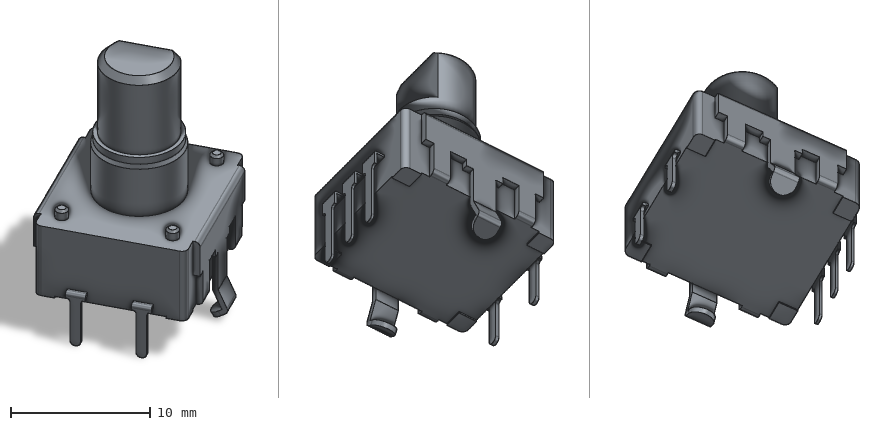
import cadquery as cq
import math


overall_width = 14.0
shaft_top = 11.5
pin_bottom = shaft_top - 21

housing_width = 11.5
housing_depth = 13.4
housing_bottom = -5.88
corner_radius = 0.5
foot_height = 0.15
foot_size = 1.53

bushing_diameter = 7.0
bushing_straight = 4.07
bushing_cone_top = 4.4
ring_diameter = 6.7
ring_top = 5.0
shaft_diameter = 6.0
shaft_chamfer = 0.5
flat_offset = 1.5
flat_floor = 6.5

peg_diameter = 1.0
peg_height = 0.82
peg_chamfer = 0.19
peg_x = 4.2
peg_y = 5.1

cover_width = 12.6
cover_depth = 10.37
cover_bottom = -2.92
cover_radius = 0.42
tab_centre = 3.74
tab_width = 1.47
step_width = 3.2
step_bottom = -3.53
leg_width = 2.0
leg_thickness = 0.42
leg_bend_z = -6.85
knee_z = -8.4
limb_angle = 33
limb_straight = 0.35

pin_pitch = 2.5
pin_head_width = 1.51
pin_stem_width = 0.82
pin_fillet = 0.27
rear_pins = {"reach": 7.55, "top": -2.92, "head_bottom": -4.2, "thickness": 0.2}
front_pins = {"reach": 7.18, "top": -5.02, "head_bottom": -5.5, "thickness": 0.3}


def block(x_range, y_range, z_range):
    """Box spanning the given (low, high) ranges."""
    sizes = [high - low for low, high in (x_range, y_range, z_range)]
    corner = (x_range[0], y_range[0], z_range[0])
    return cq.Workplane("XY").box(*sizes, centered=False).translate(corner)


def make_housing():
    """Rounded block standing on four square corner feet."""
    height = foot_height - housing_bottom
    body = cq.Workplane("XY").rect(housing_width, housing_depth).extrude(-height)
    body = body.edges("|Z").fillet(corner_radius)
    relief = cq.Workplane("XY").workplane(offset=housing_bottom)
    across_x = relief.rect(housing_width, housing_depth - 2 * foot_size).extrude(-foot_height)
    across_y = relief.rect(housing_width - 2 * foot_size, housing_depth).extrude(-foot_height)
    return body.cut(across_x).cut(across_y)


def make_shaft():
    """Stepped bushing and shaft, turned about Z, with a flat on the +Y side."""
    bushing_radius = bushing_diameter / 2
    ring_radius = ring_diameter / 2
    shaft_radius = shaft_diameter / 2
    turned = (
        cq.Workplane("XZ")
        .moveTo(0, housing_bottom / 2)
        .lineTo(bushing_radius, housing_bottom / 2)
        .lineTo(bushing_radius, bushing_straight)
        .lineTo(ring_radius, bushing_cone_top)
        .lineTo(ring_radius, ring_top)
        .lineTo(shaft_radius, ring_top)
        .lineTo(shaft_radius, shaft_top - shaft_chamfer)
        .lineTo(shaft_radius - shaft_chamfer, shaft_top)
        .lineTo(0, shaft_top)
        .close()
        .revolve(360, (0, 0, 0), (0, 1, 0))
    )
    flat = block((-shaft_radius, shaft_radius), (flat_offset, shaft_radius), (flat_floor, shaft_top))
    return turned.cut(flat)


def make_pegs():
    """Four chamfered pegs on the housing top."""
    return (
        cq.Workplane("XY")
        .rect(2 * peg_x, 2 * peg_y, forConstruction=True)
        .vertices()
        .circle(peg_diameter / 2)
        .extrude(peg_height)
        .faces(">Z")
        .chamfer(peg_chamfer)
    )


def make_leg():
    """Sheet leg on the +X side: straight, slanted out, then folded back in."""
    outer_x = cover_width / 2
    inner_x = outer_x - leg_thickness
    knee_x = overall_width / 2 - leg_thickness
    slant = math.atan2(knee_x - inner_x, leg_bend_z - knee_z)
    outer_bend_z = leg_bend_z + leg_thickness * math.tan(slant / 2)
    upper = (
        cq.Workplane("XZ")
        .moveTo(inner_x, cover_bottom)
        .lineTo(outer_x, cover_bottom)
        .lineTo(outer_x, outer_bend_z)
        .lineTo(knee_x + leg_thickness * math.cos(slant), knee_z + leg_thickness * math.sin(slant))
        .lineTo(knee_x, knee_z)
        .lineTo(inner_x, leg_bend_z)
        .close()
        .extrude(leg_width / 2, both=True)
    )

    fold = math.radians(limb_angle)
    arc_angles = (slant, (slant + fold - math.pi / 2) / 2, fold - math.pi / 2)
    start, middle, end = [
        (knee_x + leg_thickness * math.cos(a), knee_z + leg_thickness * math.sin(a)) for a in arc_angles
    ]
    knee = (
        cq.Workplane("XZ")
        .moveTo(knee_x, knee_z)
        .lineTo(*start)
        .threePointArc(middle, end)
        .close()
        .extrude(leg_width / 2, both=True)
    )

    along = (-math.cos(fold), 0, -math.sin(fold))
    outward = (math.sin(fold), 0, -math.cos(fold))
    half = leg_width / 2
    limb = (
        cq.Workplane(cq.Plane((knee_x, 0, knee_z), along, outward))
        .moveTo(0, -half)
        .lineTo(limb_straight, -half)
        .threePointArc((limb_straight + half, 0), (limb_straight, half))
        .lineTo(0, half)
        .close()
        .extrude(leg_thickness)
    )
    return upper.union(knee).union(limb)


def make_cover_side():
    """Cover plate on the +X side with its tabs, centre step and leg."""
    span_x = (housing_width / 2 - cover_radius, cover_width / 2)
    plate = block(span_x, (-cover_depth / 2, cover_depth / 2), (cover_bottom, 0))
    side = plate.edges("|Y and >X and >Z").fillet(cover_radius)
    side = side.union(block(span_x, (-step_width / 2, step_width / 2), (step_bottom, cover_bottom)))
    for centre in (-tab_centre, tab_centre):
        span_y = (centre - tab_width / 2, centre + tab_width / 2)
        tab = block(span_x, span_y, (housing_bottom, cover_bottom))
        side = side.union(tab.edges("|Y and >X and <Z").fillet(cover_radius))
    return side.union(make_leg())


def make_pin(x, reach, top, head_bottom, thickness):
    """Bent pin at x on the +Y side, its outer face at y = reach."""
    arm = block(
        (x - pin_head_width / 2, x + pin_head_width / 2),
        (housing_depth / 2 - thickness, reach),
        (head_bottom, top),
    )
    arm = arm.edges("|X and >Y and >Z").fillet(thickness)
    under_arm = block(
        (x - pin_head_width / 2, x + pin_head_width / 2),
        (0, reach - thickness),
        (head_bottom, top - thickness),
    )

    half = pin_stem_width / 2
    flare = half + pin_fillet
    fillet_mid = flare - pin_fillet * math.sqrt(0.5)
    fillet_mid_z = head_bottom - pin_fillet * (1 - math.sqrt(0.5))
    stem = (
        cq.Workplane("XZ", origin=(x, reach, 0))
        .moveTo(-flare, head_bottom)
        .threePointArc((-fillet_mid, fillet_mid_z), (-half, head_bottom - pin_fillet))
        .lineTo(-half, pin_bottom + half)
        .threePointArc((0, pin_bottom), (half, pin_bottom + half))
        .lineTo(half, head_bottom - pin_fillet)
        .threePointArc((fillet_mid, fillet_mid_z), (flare, head_bottom))
        .close()
        .extrude(thickness)
    )
    return arm.cut(under_arm).union(stem)


result = make_housing().union(make_shaft()).union(make_pegs())

cover_side = make_cover_side()
result = result.union(cover_side).union(cover_side.mirror("YZ"))

for pin_x in (-pin_pitch, 0, pin_pitch):
    result = result.union(make_pin(pin_x, **rear_pins))

for pin_x in (-pin_pitch, pin_pitch):
    front_pin = make_pin(pin_x, **front_pins)
    result = result.union(front_pin.mirror("XZ"))